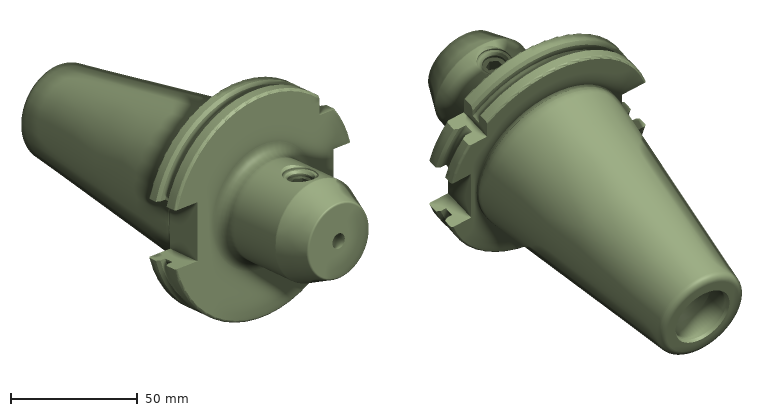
import cadquery as cq
import math

total_length = 164.8
gauge_x = 101.8
gauge_radius = 35.0
taper_ratio = 7 / 24
tail_radius = gauge_radius - gauge_x * taper_ratio / 2
tail_rounding = 3.0

relief_start_x = 103.5
relief_depth = 0.2

flange_x = 105.0
flange_width = 15.8
flange_end_x = flange_x + flange_width
flange_radius = 48.8
flange_rounding = 1.0
groove_center_x = 112.5
groove_floor_radius = 44.8
groove_floor_width = 4.3
groove_flare_depth = 1.5
groove_flare_width = 1.0

slot_width = 25.7
slot_floor_front = 35.3
slot_floor_back = 37.5
notch_edge = 30.0

nose_radius = 44.0 / 2
nose_fillet = 5.0
nose_shoulder_x = 151.7
nose_tip_radius = 16.3
nose_shoulder_rounding = 1.0
nose_tip_rounding = 1.0

mouth_radius = 13.0
mouth_depth = 1.2
counterbore_radius = 12.4
counterbore_depth = 11.5
thread_radius = 10.5
thread_end_x = 26.4
drill_point_angle = 118.0
coolant_radius = 3.3

screw_x = 142.2
screw_radius = 5.0
screw_top_z = 18.1
screw_bottom_z = 5.0
seat_radius = 7.1
seat_floor_z = 20.3
seat_rim_radius = 8.0
lead_in = 1.0
relief_hole_radius = 6.0
socket_flats = 6.0
socket_depth = 5.0


def revolve_about_x(profile):
    """Close an XY half-profile and turn it around the part axis."""
    return profile.close().revolve(360, (0, 0, 0), (1, 0, 0))


def body_blank():
    """Shank, flange and nose turned as one piece."""
    relief_radius = gauge_radius - relief_depth
    profile = (
        cq.Workplane("XY")
        .moveTo(0, 0)
        .lineTo(0, tail_radius)
        .lineTo(gauge_x, gauge_radius)
        .lineTo(relief_start_x, gauge_radius)
        .lineTo(relief_start_x + relief_depth, relief_radius)
        .lineTo(flange_x - relief_depth, relief_radius)
        .lineTo(flange_x, gauge_radius)
        .lineTo(flange_x, flange_radius)
        .lineTo(flange_end_x, flange_radius)
        .lineTo(flange_end_x, nose_radius)
        .lineTo(nose_shoulder_x, nose_radius)
        .lineTo(total_length, nose_tip_radius)
        .lineTo(total_length, 0)
    )
    return revolve_about_x(profile)


def edges_within(x, reach):
    """Selector for the circular edges at one X that fit inside a reach from the axis."""
    margin = 0.02
    return cq.selectors.BoxSelector(
        (x - margin, -reach, -reach), (x + margin, reach, reach), boundingbox=True
    )


def round_edge(body, x, radius, rounding):
    """Fillet the circular edge of one radius at one X."""
    tolerance = 0.08
    rim = edges_within(x, radius + tolerance) - edges_within(x, radius - tolerance)
    return body.edges(rim).fillet(rounding)


def flange_groove():
    """Gripper groove ring with a flared mouth."""
    half_floor = groove_floor_width / 2
    half_mouth = half_floor + groove_flare_width
    profile = (
        cq.Workplane("XY")
        .moveTo(groove_center_x - half_floor, groove_floor_radius)
        .lineTo(groove_center_x - half_floor, flange_radius - groove_flare_depth)
        .lineTo(groove_center_x - half_mouth, flange_radius)
        .lineTo(groove_center_x + half_mouth, flange_radius)
        .lineTo(groove_center_x + half_floor, flange_radius - groove_flare_depth)
        .lineTo(groove_center_x + half_floor, groove_floor_radius)
    )
    return revolve_about_x(profile)


def flange_box(y_start, y_end, z_start, z_end):
    """Block across the whole flange width."""
    return cq.Workplane("XY").box(
        flange_width, y_end - y_start, z_end - z_start, centered=False
    ).translate((flange_x, y_start, z_start))


def flange_cutouts():
    """Two opposed drive slots and the corner notch."""
    half_slot = slot_width / 2
    front_slot = flange_box(-flange_radius, -slot_floor_front, -half_slot, half_slot)
    back_slot = flange_box(slot_floor_back, flange_radius, -half_slot, half_slot)
    notch = flange_box(notch_edge, flange_radius, notch_edge, flange_radius)
    return [front_slot, back_slot, notch]


def axial_bore():
    """Counterbored tail hole that narrows to a coolant hole through the nose."""
    cone_length = (thread_radius - coolant_radius) / math.tan(math.radians(drill_point_angle / 2))
    thread_start_x = counterbore_depth + counterbore_radius - thread_radius
    profile = (
        cq.Workplane("XY")
        .moveTo(0, 0)
        .lineTo(0, mouth_radius)
        .lineTo(mouth_depth, counterbore_radius)
        .lineTo(counterbore_depth, counterbore_radius)
        .lineTo(thread_start_x, thread_radius)
        .lineTo(thread_end_x, thread_radius)
        .lineTo(thread_end_x + cone_length, coolant_radius)
        .lineTo(total_length, coolant_radius)
        .lineTo(total_length, 0)
    )
    return revolve_about_x(profile)


def cross_hole():
    """Stepped screw hole from the top of the nose, met by a plain hole from below."""
    rim_height = seat_rim_radius - seat_radius
    profile = (
        cq.Workplane("XZ", origin=(screw_x, 0, 0))
        .moveTo(0, -nose_radius)
        .lineTo(relief_hole_radius, -nose_radius)
        .lineTo(relief_hole_radius, 0)
        .lineTo(screw_radius, 0)
        .lineTo(screw_radius, seat_floor_z - lead_in)
        .lineTo(screw_radius + lead_in, seat_floor_z)
        .lineTo(seat_radius, seat_floor_z)
        .lineTo(seat_radius, nose_radius - rim_height)
        .lineTo(seat_rim_radius, nose_radius)
        .lineTo(0, nose_radius)
    )
    return profile.close().revolve(360, (0, 0, 0), (0, 1, 0))


def make_holder():
    """Tool holder with its rounded edges, groove, slots and holes."""
    body = body_blank()
    body = round_edge(body, 0, tail_radius, tail_rounding)
    body = round_edge(body, flange_x, flange_radius, flange_rounding)
    body = round_edge(body, flange_end_x, flange_radius, flange_rounding)
    body = round_edge(body, flange_end_x, nose_radius, nose_fillet)
    body = round_edge(body, nose_shoulder_x, nose_radius, nose_shoulder_rounding)
    body = round_edge(body, total_length, nose_tip_radius, nose_tip_rounding)
    body = body.cut(flange_groove())
    for cutout in flange_cutouts():
        body = body.cut(cutout)
    return body.cut(axial_bore()).cut(cross_hole())


def make_clamp_screw():
    """Headless screw with a hexagon socket, seated in the upper half of the cross hole."""
    socket_corners = socket_flats / math.cos(math.radians(30))
    return (
        cq.Workplane("XY", origin=(screw_x, 0, screw_bottom_z))
        .circle(screw_radius)
        .extrude(screw_top_z - screw_bottom_z)
        .faces(">Z")
        .workplane()
        .polygon(6, socket_corners)
        .cutBlind(-socket_depth)
    )


holder = make_holder()
clamp_screw = make_clamp_screw()
result = cq.Compound.makeCompound([holder.solids().val(), clamp_screw.solids().val()])